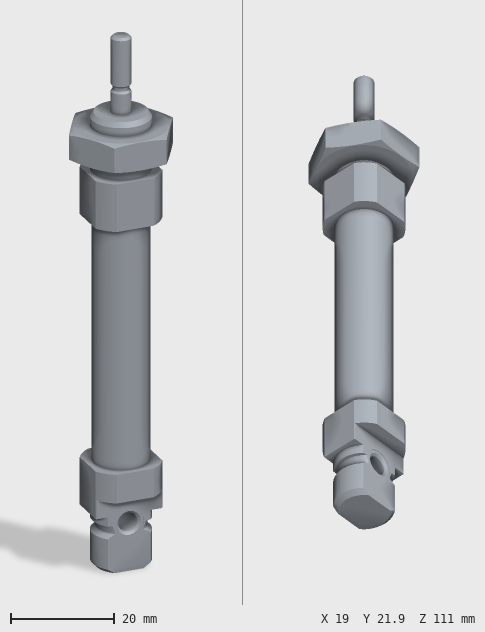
import cadquery as cq
import math

TOTAL_HEIGHT = 111.0

ROD_DIAMETER = 4.0
ROD_TIP_CHAMFER = 0.4
ROD_NECK_DIAMETER = 3.2
ROD_NECK_BOTTOM = 99.3
ROD_NECK_TOP = 100.9
ROD_NECK_TAPER = 0.4

HEAD_WIDTH = 14.0
HEAD_CORNER_DIAMETER = 16.0
HEAD_BOTTOM = 73.0
HEAD_TOP = 83.0
NOSE_TOP = 95.0
THREAD_DIAMETER = 12.0
NOSE_TIP_DIAMETER = 10.7
NOSE_TIP_CHAMFER_HEIGHT = 1.0
GROOVE_DIAMETER = 10.0
COLLAR_TAPER_BOTTOM = 85.1
COLLAR_TAPER_TOP = 85.8

NUT_BOTTOM = 86.2
NUT_HEIGHT = 6.0
NUT_ACROSS_FLATS = 19.0
NUT_FACE_DIAMETER = 18.6
NUT_CHAMFER_ANGLE = 15.0

TUBE_DIAMETER = 11.3

REAR_HEAD_TOP = 22.0
REAR_HEAD_BOTTOM = 16.0
TONGUE_THICKNESS = 8.0
TONGUE_SHOULDER = 12.0
TONGUE_END_CHAMFER = 1.0
TONGUE_GROOVE_TOP = 10.0
TONGUE_GROOVE_TOP_DIAMETER = 10.7
TONGUE_GROOVE_UPPER_EDGE = 8.5
TONGUE_GROOVE_LOWER_EDGE = 8.2
TONGUE_GROOVE_BOTTOM = 7.3

PIN_HOLE_DIAMETER = 4.0
PIN_HOLE_CHAMFER_DIAMETER = 5.0
PIN_HOLE_RECESS_DIAMETER = 6.2
PIN_HOLE_RECESS_DEPTH = 0.1
PIN_HOLE_HEIGHT = 10.0


def revolved(profile):
    """Revolve a list of (diameter, height) points around the Z axis."""
    points = [(diameter / 2, height) for diameter, height in profile]
    closed = [(0, points[0][1]), *points, (0, points[-1][1])]
    return cq.Workplane("XZ").polyline(closed).close().revolve(360, (0, 0), (0, 1))


def cylinder(diameter, bottom, top):
    return cq.Workplane("XY").workplane(offset=bottom).circle(diameter / 2).extrude(top - bottom)


def head_block(bottom, top):
    """Square block with its corners turned down to a cylinder."""
    square = cq.Workplane("XY").workplane(offset=bottom).rect(HEAD_WIDTH, HEAD_WIDTH).extrude(top - bottom)
    return square.intersect(cylinder(HEAD_CORNER_DIAMETER, bottom, top))


def make_nose():
    """Collar, relief groove and thread that carries the nut."""
    return revolved([
        (THREAD_DIAMETER, HEAD_TOP),
        (THREAD_DIAMETER, COLLAR_TAPER_BOTTOM),
        (GROOVE_DIAMETER, COLLAR_TAPER_TOP),
        (GROOVE_DIAMETER, NUT_BOTTOM),
        (THREAD_DIAMETER, NUT_BOTTOM),
        (THREAD_DIAMETER, NOSE_TOP - NOSE_TIP_CHAMFER_HEIGHT),
        (NOSE_TIP_DIAMETER, NOSE_TOP),
    ])


def make_tongue():
    """Flat-sided tongue: square shoulder above, grooved round end below."""
    round_end = revolved([
        (THREAD_DIAMETER - 2 * TONGUE_END_CHAMFER, 0),
        (THREAD_DIAMETER, TONGUE_END_CHAMFER),
        (THREAD_DIAMETER, TONGUE_GROOVE_BOTTOM),
        (GROOVE_DIAMETER, TONGUE_GROOVE_LOWER_EDGE),
        (GROOVE_DIAMETER, TONGUE_GROOVE_UPPER_EDGE),
        (TONGUE_GROOVE_TOP_DIAMETER, TONGUE_GROOVE_TOP),
        (THREAD_DIAMETER, TONGUE_GROOVE_TOP),
        (THREAD_DIAMETER, TONGUE_SHOULDER),
    ])
    body = round_end.union(head_block(TONGUE_SHOULDER, REAR_HEAD_BOTTOM))
    slab = cq.Workplane("XY").rect(TONGUE_THICKNESS, HEAD_WIDTH).extrude(REAR_HEAD_BOTTOM)
    return body.intersect(slab)


def make_pin_hole():
    """Cutter along X with a chamfered mouth in a shallow round recess on both faces."""
    face = TONGUE_THICKNESS / 2
    recess_floor = face - PIN_HOLE_RECESS_DEPTH
    chamfer_depth = (PIN_HOLE_CHAMFER_DIAMETER - PIN_HOLE_DIAMETER) / 2
    hole = revolved([
        (PIN_HOLE_RECESS_DIAMETER, -face),
        (PIN_HOLE_RECESS_DIAMETER, -recess_floor),
        (PIN_HOLE_CHAMFER_DIAMETER, -recess_floor),
        (PIN_HOLE_DIAMETER, -recess_floor + chamfer_depth),
        (PIN_HOLE_DIAMETER, recess_floor - chamfer_depth),
        (PIN_HOLE_CHAMFER_DIAMETER, recess_floor),
        (PIN_HOLE_RECESS_DIAMETER, recess_floor),
        (PIN_HOLE_RECESS_DIAMETER, face),
    ])
    return hole.rotate((0, 0, 0), (0, 1, 0), 90).translate((0, 0, PIN_HOLE_HEIGHT))


def make_housing():
    housing = make_tongue().union(head_block(REAR_HEAD_BOTTOM, REAR_HEAD_TOP))
    housing = housing.union(cylinder(TUBE_DIAMETER, REAR_HEAD_TOP, HEAD_BOTTOM))
    housing = housing.union(head_block(HEAD_BOTTOM, HEAD_TOP)).union(make_nose())
    rod_bore = cylinder(ROD_DIAMETER, HEAD_BOTTOM, NOSE_TOP)
    return housing.cut(make_pin_hole()).cut(rod_bore)


def make_rod():
    """Rod with a necked thread relief and a chamfered tip."""
    return revolved([
        (ROD_DIAMETER, HEAD_BOTTOM),
        (ROD_DIAMETER, ROD_NECK_BOTTOM),
        (ROD_NECK_DIAMETER, ROD_NECK_BOTTOM + ROD_NECK_TAPER),
        (ROD_NECK_DIAMETER, ROD_NECK_TOP - ROD_NECK_TAPER),
        (ROD_DIAMETER, ROD_NECK_TOP),
        (ROD_DIAMETER, TOTAL_HEIGHT - ROD_TIP_CHAMFER),
        (ROD_DIAMETER - 2 * ROD_TIP_CHAMFER, TOTAL_HEIGHT),
    ])


def make_nut():
    """Hexagon nut with two flats facing X and both faces chamfered."""
    corner_diameter = NUT_ACROSS_FLATS / math.cos(math.pi / 6)
    chamfer_height = (corner_diameter - NUT_FACE_DIAMETER) / 2 * math.tan(math.radians(NUT_CHAMFER_ANGLE))
    top = NUT_BOTTOM + NUT_HEIGHT
    hexagon = cq.Workplane("XY").polygon(6, corner_diameter).extrude(NUT_HEIGHT)
    hexagon = hexagon.rotate((0, 0, 0), (0, 0, 1), 30).translate((0, 0, NUT_BOTTOM))
    chamfered_envelope = revolved([
        (NUT_FACE_DIAMETER, NUT_BOTTOM),
        (corner_diameter, NUT_BOTTOM + chamfer_height),
        (corner_diameter, top - chamfer_height),
        (NUT_FACE_DIAMETER, top),
    ])
    return hexagon.intersect(chamfered_envelope).cut(cylinder(THREAD_DIAMETER, NUT_BOTTOM, top))


housing = make_housing()
rod = make_rod()
nut = make_nut()

result = cq.Compound.makeCompound([housing.val(), rod.val(), nut.val()])